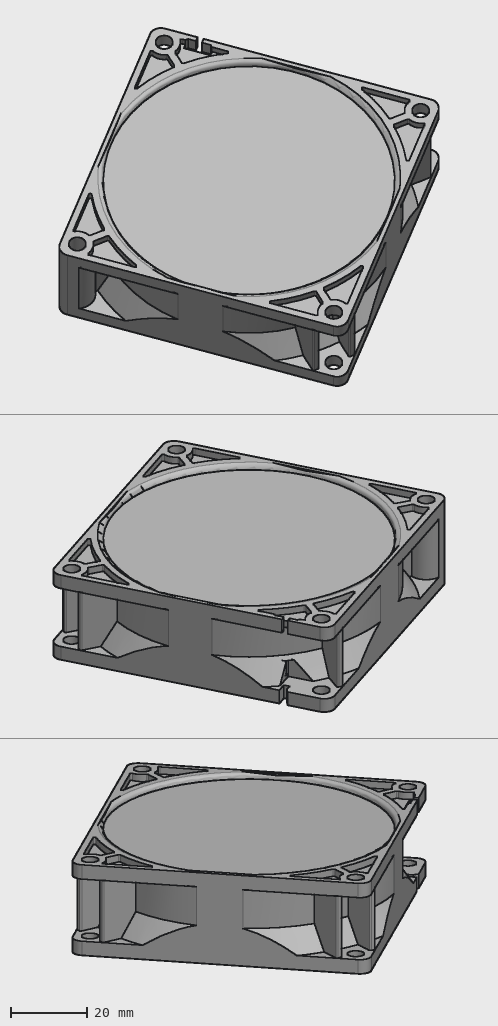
import cadquery as cq
import math

side = 80.0
height = 25.4
half = side / 2
corner_radius = 3.0
flange = 4.0
flange_top = height - flange

housing_radius = 40.5
foot_radius = 45.0
foot_top = 10.6

hole_offset = 35.6
hole_radius = 2.2
post_radius = 4.8
post_web = 2.6

rib_inner = 4.4
rib_outer = 6.2
rib_end = 50.5
rib_fillet = 0.4

recess_radius = 38.3
recess_lip = 1.5
recess_half_width = 38.7
recess_depth = 1.6

pocket_edge = 38.1
pocket_inner_radius = 41.8
pocket_boss_radius = 4.2
pocket_web = 2.2
pocket_depth = 2.0
pocket_fillet = 0.4

wire_left = -30.6
wire_right = -23.2
wire_front = 36.9
wire_back = 38.6
wire_chamfer = 0.6
mouth_left = -27.8
mouth_right = -26.2
lower_slot_left = -27.0
lower_slot_right = -25.4

passage_wall = -24.6
passage_front = 32.0
passage_top = 9.3
niche_back = 33.5
niche_bottom = 4.9

rear_right, rear_left, front_left, front_right = 45, 135, 225, 315


def box(x0, x1, y0, y1, z0, z1):
    """Block between two opposite corners."""
    block = cq.Workplane("XY").box(x1 - x0, y1 - y0, z1 - z0, centered=False)
    return block.translate((x0, y0, z0))


def disc(radius, z0, z1):
    """Upright cylinder on the main axis."""
    return cq.Workplane("XY").workplane(offset=z0).circle(radius).extrude(z1 - z0)


def turn(shape, angle):
    """Swing a shape about the main axis."""
    return shape.rotate((0, 0, 0), (0, 0, 1), angle)


def plate(z0, z1):
    """Square plate with rounded corners."""
    return box(-half, half, -half, half, z0, z1).edges("|Z").fillet(corner_radius)


def housing():
    """Cylinder on a flared foot."""
    profile = [
        (0, 0),
        (foot_radius, 0),
        (foot_radius, flange),
        (housing_radius, foot_top),
        (housing_radius, height),
        (0, height),
    ]
    return cq.Workplane("XZ").polyline(profile).close().revolve(360, (0, 0), (0, 1))


def rib(angle, flank):
    """Rib on one flank (+1 or -1) of a corner diagonal."""
    near, far = sorted((flank * rib_inner, flank * rib_outer))
    bar = box(0, rib_end, near, far, flange, flange_top)
    return turn(bar.edges("|Z and >X").fillet(rib_fillet), angle)


def front_post():
    """Round post filled out to the front left corner, with its web to the housing."""
    reach = hole_offset * math.sqrt(2)
    web = box(0, reach, -post_web / 2, post_web / 2, flange, flange_top)
    post = disc(post_radius, flange, flange_top).translate((reach, 0, 0))
    corner = box(-half, -hole_offset, -half, -hole_offset, flange, flange_top)
    return turn(web.union(post), front_left).union(corner)


def recess():
    """Round recess widening through a quarter-round lip, with four flattened sides."""
    floor = height - recess_depth
    lip_start = height - recess_lip
    mouth_radius = recess_radius + recess_lip
    inset = recess_lip * (1 - math.sqrt(0.5))
    profile = (
        cq.Workplane("XZ")
        .moveTo(0, floor)
        .lineTo(recess_radius, floor)
        .lineTo(recess_radius, lip_start)
        .threePointArc((recess_radius + inset, height - inset), (mouth_radius, height))
        .lineTo(0, height)
        .close()
    )
    reach = recess_half_width
    return profile.revolve(360, (0, 0), (0, 1)).intersect(box(-reach, reach, -reach, reach, floor, height))


def pocket_pair(angle):
    """Two pockets beside the hole of one corner, parted by a diagonal web."""
    floor = height - pocket_depth
    area = box(0, pocket_edge, 0, pocket_edge, floor, height)
    around_hole = box(hole_offset, pocket_edge, hole_offset, pocket_edge, floor, height)
    boss = disc(pocket_boss_radius, floor, height).translate((hole_offset, hole_offset, 0))
    web = box(0, side, -pocket_web / 2, pocket_web / 2, floor, height)
    area = area.cut(disc(pocket_inner_radius, floor, height))
    area = area.cut(boss).cut(around_hole).cut(turn(web, rear_right))
    area = area.edges("|Z").fillet(pocket_fillet)
    return turn(area, angle - rear_right)


def wire_exit():
    """T-shaped slot in the top flange above a narrow flared slot in the bottom flange."""
    chamber = box(wire_left, wire_right, wire_front, wire_back, flange_top, height)
    chamber = chamber.edges("|Z and >Y").chamfer(wire_chamfer)
    mouth = box(mouth_left, mouth_right, wire_front, half, flange_top, height)
    lower_outline = [
        (lower_slot_left, wire_front),
        (lower_slot_right, wire_front),
        (lower_slot_right, half),
        (mouth_left, half),
        (lower_slot_left, wire_back),
    ]
    lower_slot = cq.Workplane("XY").polyline(lower_outline).close().extrude(flange)
    return chamber.union(mouth).union(lower_slot)


def wire_passage():
    """Flat-walled cut into the foot, with a niche reaching in to the housing wall."""
    passage = box(-half, passage_wall, passage_front, half, flange, passage_top)
    niche = box(-half, 0, passage_front, niche_back, niche_bottom, passage_top)
    return passage.union(niche.cut(disc(housing_radius, niche_bottom, passage_top)))


body = housing().cut(wire_passage())
for corner in (rear_right, front_right):
    body = body.union(rib(corner, 1)).union(rib(corner, -1))
body = body.union(rib(rear_left, 1)).union(front_post())
body = body.intersect(plate(0, height))
body = body.union(plate(0, flange)).union(plate(flange_top, height))

body = body.cut(recess()).cut(wire_exit())
for corner in (rear_right, rear_left, front_left, front_right):
    body = body.cut(pocket_pair(corner))

holes = cq.Workplane("XY").rect(2 * hole_offset, 2 * hole_offset, forConstruction=True).vertices()
result = body.cut(holes.circle(hole_radius).extrude(height))